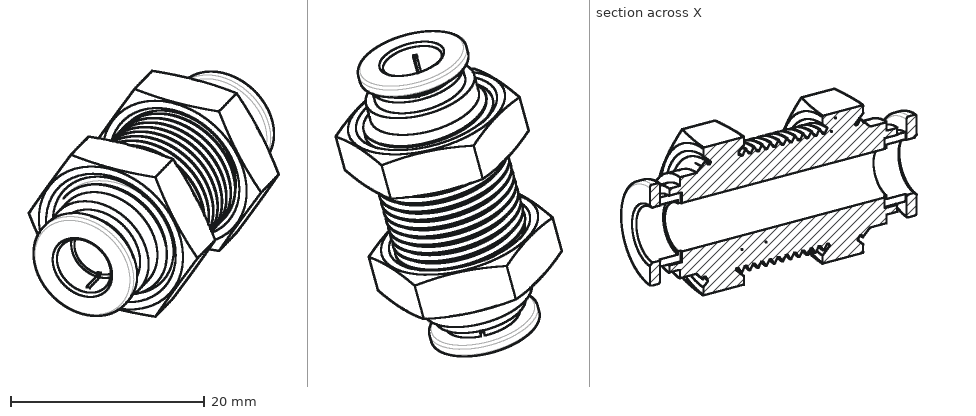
import cadquery as cq
import math

length = 32.6
half_length = length / 2

collar_diameter = 11.65
collar_length = 1.3
collar_fillet = 0.3
neck_diameter = 7.95
neck_length = 1.08
ring_diameter = 9.68
ring_length = 1.3
body_diameter = collar_diameter
body_length = 2.02

bore_diameter = 5.5
socket_diameter = 6.25
socket_depth = 3.6
socket_chamfer = 0.33

slit_width = 0.4
slit_depth = 3.9

thread_diameter = 14.02
ten_turn_length = 10.0
thread_pitch = ten_turn_length / 10
thread_depth_ratio = 0.613
thread_depth = thread_depth_ratio * thread_pitch
thread_crest = thread_pitch / 8
flank_angle = 30.0
flank_slope = math.tan(math.radians(flank_angle))
groove_shift = -0.7

nut_sides = 6
nut_across_flats = 17.0
nut_thickness = 5.02
nut_setback = 6.52
nut_embed = 0.15
nut_face_diameter = 16.75
nut_chamfer_angle = 19.0
nut_countersink_diameter = 15.05

thread_radius = thread_diameter / 2
root_radius = thread_radius - thread_depth
nut_corner_diameter = nut_across_flats / math.cos(math.pi / nut_sides)
collar_inner = half_length - collar_length
neck_inner = collar_inner - neck_length
ring_inner = neck_inner - ring_length
body_inner = ring_inner - body_length
cone_length = (thread_diameter - body_diameter) / 2


def y_cylinder(diameter, y_start, y_end):
    """Cylinder along Y between two places."""
    plane = cq.Workplane("XZ", origin=(0, y_start, 0))
    return plane.circle(diameter / 2).extrude(y_start - y_end)


def y_revolve(points):
    """Solid of revolution about Y from (radius, y) points."""
    return cq.Workplane("XY").polyline(points).close().revolve(360, (0, 0, 0), (0, 1, 0))


def at_both_ends(shape):
    """The shape at the +Y end together with its mirror image at the -Y end."""
    return shape, shape.mirror("XZ")


def make_thread_groove():
    """Right-hand V groove, long enough to pass both shoulders."""
    clearance = 0.03
    mouth_half_width = (thread_pitch - thread_crest) / 2
    outer_half_width = mouth_half_width + clearance * flank_slope
    root_half_width = mouth_half_width - thread_depth * flank_slope
    turns = 2 * math.ceil(body_inner / thread_pitch)
    height = turns * thread_pitch
    helix = cq.Wire.makeHelix(thread_pitch, height, root_radius)
    profile = (
        cq.Workplane("XZ")
        .moveTo(root_radius, -root_half_width)
        .lineTo(thread_radius + clearance, -outer_half_width)
        .lineTo(thread_radius + clearance, outer_half_width)
        .lineTo(root_radius, root_half_width)
        .close()
    )
    groove = profile.sweep(cq.Workplane(obj=helix), isFrenet=True)
    groove = groove.translate((0, 0, groove_shift - height / 2))
    return groove.rotate((0, 0, 0), (1, 0, 0), -90)


def make_shoulder_cutter():
    """Turns one end of the threaded bar down to the body with a 45 degree shoulder."""
    overshoot = 0.33
    cone_inner = body_inner - cone_length
    body_radius = body_diameter / 2
    return y_revolve([
        (body_radius, ring_inner + overshoot),
        (body_radius, body_inner),
        (thread_radius + overshoot, cone_inner - overshoot),
        (thread_radius + overshoot, ring_inner + overshoot),
    ])


def make_barrel():
    """Threaded bar whose ends are turned down; the thread runs out on the shoulders."""
    barrel = y_cylinder(thread_diameter, -ring_inner, ring_inner).cut(make_thread_groove())
    for cutter in at_both_ends(make_shoulder_cutter()):
        barrel = barrel.cut(cutter)
    return barrel


def make_nut():
    """Hexagon nut, chamfered on both faces and countersunk around the thread."""
    embedded_radius = root_radius - nut_embed
    y_outer = half_length - nut_setback
    y_inner = y_outer - nut_thickness
    corner_radius = nut_corner_diameter / 2
    face_radius = nut_face_diameter / 2
    sink_radius = nut_countersink_diameter / 2
    sink_depth = sink_radius - embedded_radius
    corner_drop = (corner_radius - face_radius) * math.tan(math.radians(nut_chamfer_angle))
    hexagon = (
        cq.Workplane("XZ", origin=(0, y_outer, 0))
        .polygon(nut_sides, nut_corner_diameter)
        .extrude(nut_thickness)
    )
    envelope = y_revolve([
        (embedded_radius, y_inner + sink_depth),
        (sink_radius, y_inner),
        (face_radius, y_inner),
        (corner_radius, y_inner + corner_drop),
        (corner_radius, y_outer - corner_drop),
        (face_radius, y_outer),
        (sink_radius, y_outer),
        (embedded_radius, y_outer - sink_depth),
    ])
    return hexagon.intersect(envelope)


def make_collet():
    """Rounded release collar, its neck and the ring around it."""
    collar = y_cylinder(collar_diameter, collar_inner, half_length).edges().fillet(collar_fillet)
    neck = y_cylinder(neck_diameter, ring_inner, collar_inner + collar_fillet)
    ring = y_cylinder(ring_diameter, body_inner, neck_inner)
    return collar.union(neck).union(ring)


def make_socket():
    """Tube socket with a chamfered mouth."""
    radius = socket_diameter / 2
    return y_revolve([
        (0, half_length - socket_depth),
        (radius, half_length - socket_depth),
        (radius, half_length - socket_chamfer),
        (radius + socket_chamfer, half_length),
        (0, half_length),
    ])


def make_slit():
    """Slit through the collet wall, above and below the bore."""
    depth = slit_depth - collar_length
    slit = cq.Workplane("XY").box(slit_width, depth, neck_diameter)
    return slit.translate((0, collar_inner - depth / 2, 0))


result = make_barrel()
for feature in (make_nut(), make_collet()):
    for copy in at_both_ends(feature):
        result = result.union(copy)
result = result.cut(y_cylinder(bore_diameter, -half_length, half_length))
for feature in (make_socket(), make_slit()):
    for copy in at_both_ends(feature):
        result = result.cut(copy)